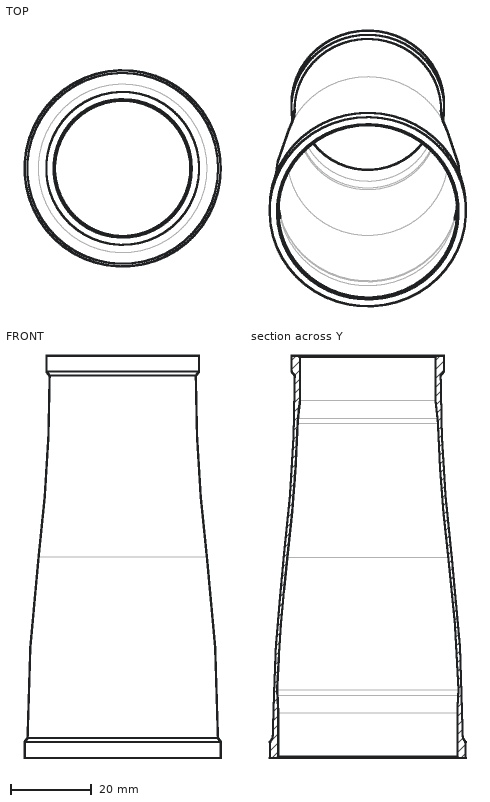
import cadquery as cq
import math

length = 100.0
collar_height = 4.0
collar_shoulder = 1.0
top_collar_radius = 19.0
bottom_collar_radius = 24.4
collar_wall = 2.2
edge_chamfer = 0.4

neck_radius = 18.2
body_radius = 23.7
body_wall = 1.0

bore_depth = 11.2
steep_taper_height = 4.4
shallow_taper_height = 1.3
shallow_taper_step = 0.1

mid_height = length / 2
collar_length = collar_height + collar_shoulder
half_curve_height = mid_height - collar_length
half_curve_step = (body_radius - neck_radius) / 2
arc_radius = (half_curve_height**2 + half_curve_step**2) / (2 * half_curve_step)
neck_center_radius = neck_radius + arc_radius
body_center_radius = body_radius - arc_radius
joint_angle = math.asin(half_curve_height / arc_radius)
steep_taper_end = bore_depth + steep_taper_height
wall_start = steep_taper_end + shallow_taper_height
top_bore_radius = top_collar_radius - collar_wall
bottom_bore_radius = bottom_collar_radius - collar_wall


def neck_arc_point(angle, wall):
    """Point on the upper, concave arc, set inward by the wall thickness."""
    radius = arc_radius + wall
    return (
        neck_center_radius - radius * math.cos(angle),
        length - collar_length - radius * math.sin(angle),
    )


def body_arc_point(angle, wall):
    """Point on the lower, convex arc, set inward by the wall thickness."""
    radius = arc_radius - wall
    return (
        body_center_radius + radius * math.cos(angle),
        collar_length + radius * math.sin(angle),
    )


def body_arc_points(start_angle, wall):
    """Middle and end of the lower arc, which ends on the joint with the upper arc."""
    middle = body_arc_point((start_angle + joint_angle) / 2, wall)
    return [middle, body_arc_point(joint_angle, wall)]


def body_arc_tangents(start_angle):
    """Directions of the lower arc at its start and at the joint."""
    return [(-math.sin(angle), math.cos(angle)) for angle in (start_angle, joint_angle)]


def make_outer_solid():
    profile = (
        cq.Workplane("XZ")
        .lineTo(bottom_collar_radius, 0)
        .lineTo(bottom_collar_radius, collar_height)
        .lineTo(body_radius, collar_length)
        .spline(body_arc_points(0, 0), tangents=body_arc_tangents(0), includeCurrent=True)
        .threePointArc(neck_arc_point(joint_angle / 2, 0), (neck_radius, length - collar_length))
        .lineTo(top_collar_radius, length - collar_height)
        .lineTo(top_collar_radius, length)
        .lineTo(0, length)
        .close()
    )
    return profile.revolve(360, (0, 0, 0), (0, 1, 0))


def make_cavity():
    curve_offset = wall_start - collar_length
    body_start_angle = math.asin(curve_offset / (arc_radius - body_wall))
    neck_end_angle = math.asin(curve_offset / (arc_radius + body_wall))
    body_start = body_arc_point(body_start_angle, body_wall)
    neck_end = neck_arc_point(neck_end_angle, body_wall)
    neck_middle = neck_arc_point((neck_end_angle + joint_angle) / 2, body_wall)
    profile = (
        cq.Workplane("XZ")
        .lineTo(bottom_bore_radius + edge_chamfer, 0)
        .lineTo(bottom_bore_radius, edge_chamfer)
        .lineTo(bottom_bore_radius, bore_depth)
        .lineTo(body_start[0] - shallow_taper_step, steep_taper_end)
        .lineTo(*body_start)
        .spline(
            body_arc_points(body_start_angle, body_wall),
            tangents=body_arc_tangents(body_start_angle),
            includeCurrent=True,
        )
        .threePointArc(neck_middle, neck_end)
        .lineTo(neck_end[0] - shallow_taper_step, length - steep_taper_end)
        .lineTo(top_bore_radius, length - bore_depth)
        .lineTo(top_bore_radius, length - edge_chamfer)
        .lineTo(top_bore_radius + edge_chamfer, length)
        .lineTo(0, length)
        .close()
    )
    return profile.revolve(360, (0, 0, 0), (0, 1, 0))


result = make_outer_solid().cut(make_cavity())